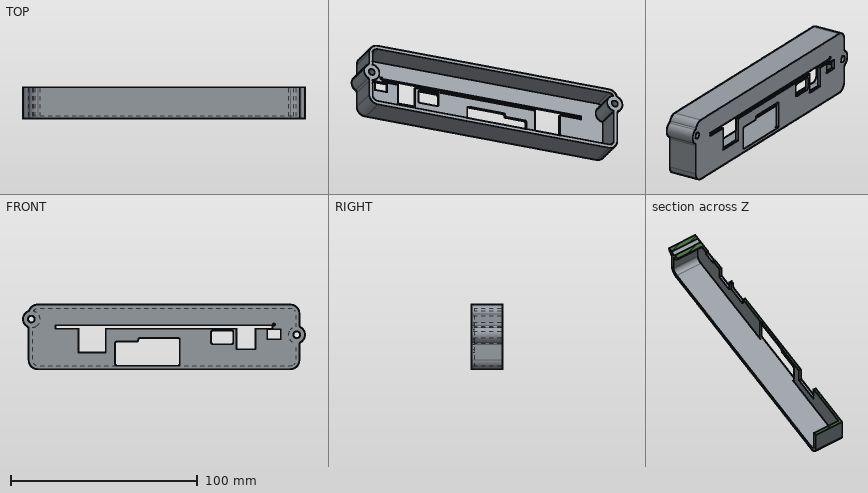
import cadquery as cq


body_width = 145.0
body_height = 34.7
body_depth = 16.75
corner_radius = 5.0
wall = 2.0
plate_thickness = 1.5

ear_radius = 4.5
ear_inset = 1.5
ear_blend_radius = 1.5
screw_diameter = 3.5
left_ear_height = 26.85
right_ear_height = 18.5
ear_centres = [
    (ear_inset, left_ear_height),
    (body_width - ear_inset, right_ear_height),
]

slot_side_margin = 14.5
slot_bottom = 21.75
slot_height = 1.75
slot_top = slot_bottom + slot_height
left_notch_x = 26.8
left_notch_width = 14.5
left_notch_bottom = 9.0
right_notch_x = 111.4
right_notch_width = 10.0
right_notch_bottom = 10.75

stepped_left = 46.4
stepped_right = 80.9
stepped_bottom = wall
stepped_low_top = 14.8
stepped_high_top = 16.7
step_x = 58.8
window_corner_radius = 0.9

rounded_x = 97.7
rounded_bottom = 13.5
rounded_width = 11.8
rounded_height = 7.25

plain_x = 127.8
plain_bottom = 16.2
plain_width = 7.1
plain_height = 5.1

pin_diameter = 1.0
pin_x = 131.3
pin_z = 23.9


def prism(outline, start, end):
    """Extrude a closed XZ outline from Y = start to Y = end."""
    return outline.extrude(-(end - start)).translate((0, start, 0))


def box(x, z, width, height, start, end):
    """Box given by its lower left corner in XZ and its Y range."""
    outline = cq.Workplane("XZ").moveTo(x, z).rect(width, height, centered=False)
    return prism(outline, start, end)


def plate_opening(x, z, width, height):
    """Rectangular opening through the front plate."""
    return box(x, z, width, height, 0, plate_thickness)


def ear(x, z):
    """Cylindrical screw ear over the full depth."""
    outline = cq.Workplane("XZ").center(x, z).circle(ear_radius)
    return prism(outline, 0, body_depth)


def blend_region(side_x, z):
    """Selector for the inner corners where an ear meets the side of the body."""
    return cq.selectors.BoxSelector(
        (side_x - ear_inset, 0, z - ear_radius),
        (side_x + ear_inset, body_depth, z + ear_radius),
    )


def outer_body():
    """Solid rounded block with both ears blended into its sides."""
    block = box(0, 0, body_width, body_height, 0, body_depth)
    body = block.edges("|Y").fillet(corner_radius)
    for x, z in ear_centres:
        body = body.union(ear(x, z))
    for side_x, (_, z) in zip((0, body_width), ear_centres):
        body = body.edges(blend_region(side_x, z)).fillet(ear_blend_radius)
    return body


def cavity():
    """Hollow behind the front plate, leaving the walls and the ears solid."""
    hollow = box(
        wall,
        wall,
        body_width - 2 * wall,
        body_height - 2 * wall,
        plate_thickness,
        body_depth,
    )
    hollow = hollow.edges("|Y").fillet(corner_radius - wall)
    for x, z in ear_centres:
        hollow = hollow.cut(ear(x, z))
    return hollow


def slot_with_notches():
    """Long slot with a notch below it near each end."""
    slot_width = body_width - 2 * slot_side_margin
    cutter = plate_opening(slot_side_margin, slot_bottom, slot_width, slot_height)
    notches = [
        (left_notch_x, left_notch_width, left_notch_bottom),
        (right_notch_x, right_notch_width, right_notch_bottom),
    ]
    for x, width, bottom in notches:
        cutter = cutter.union(plate_opening(x, bottom, width, slot_top - bottom))
    return cutter


def stepped_window():
    """Rounded window whose top edge steps up towards the right."""
    outline = (
        cq.Workplane("XZ")
        .moveTo(stepped_left, stepped_bottom)
        .lineTo(stepped_right, stepped_bottom)
        .lineTo(stepped_right, stepped_high_top)
        .lineTo(step_x, stepped_high_top)
        .lineTo(step_x, stepped_low_top)
        .lineTo(stepped_left, stepped_low_top)
        .close()
    )
    return prism(outline, 0, plate_thickness).edges("|Y").fillet(window_corner_radius)


def rounded_window():
    """Rectangular window with rounded corners."""
    opening = plate_opening(rounded_x, rounded_bottom, rounded_width, rounded_height)
    return opening.edges("|Y").fillet(window_corner_radius)


def screw_holes():
    """Through holes on the ear axes."""
    outline = cq.Workplane("XZ").pushPoints(ear_centres).circle(screw_diameter / 2)
    return prism(outline, 0, body_depth)


def pin_hole():
    """Small round hole through the front plate."""
    outline = cq.Workplane("XZ").center(pin_x, pin_z).circle(pin_diameter / 2)
    return prism(outline, 0, plate_thickness)


result = (
    outer_body()
    .cut(cavity())
    .cut(slot_with_notches())
    .cut(stepped_window())
    .cut(rounded_window())
    .cut(plate_opening(plain_x, plain_bottom, plain_width, plain_height))
    .cut(pin_hole())
    .cut(screw_holes())
)